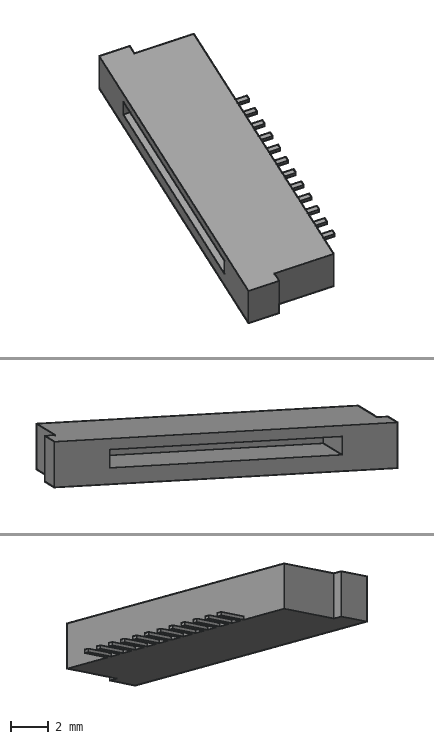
import cadquery as cq

flange_width = 19.2
flange_depth = 1.8
body_width = 18.0
body_depth = 5.3
height = 2.5

slot_width = 13.0
slot_height = 1.0
slot_bottom = 0.9
slot_depth = 3.45

pin_count = 12
pin_row_span = 11.0
pin_width = 0.3
pin_thickness = 0.2
overall_depth = 6.9
pin_length = overall_depth - body_depth
pin_pitch = pin_row_span / (pin_count - 1)
pin_embed = 0.2


def block(width, depth, tall, x=0, y=0, z=0):
    """Box centred on x, with its front face at y and its underside at z."""
    return cq.Workplane("XY").box(width, depth, tall, centered=(True, False, False)).translate((x, y, z))


housing = block(body_width, body_depth, height).union(block(flange_width, flange_depth, height))
housing = housing.cut(block(slot_width, slot_depth, slot_height, z=slot_bottom))

result = housing
for index in range(pin_count):
    pin_x = index * pin_pitch - pin_row_span / 2
    pin = block(pin_width, pin_length + pin_embed, pin_thickness, x=pin_x, y=body_depth - pin_embed)
    result = result.union(pin)